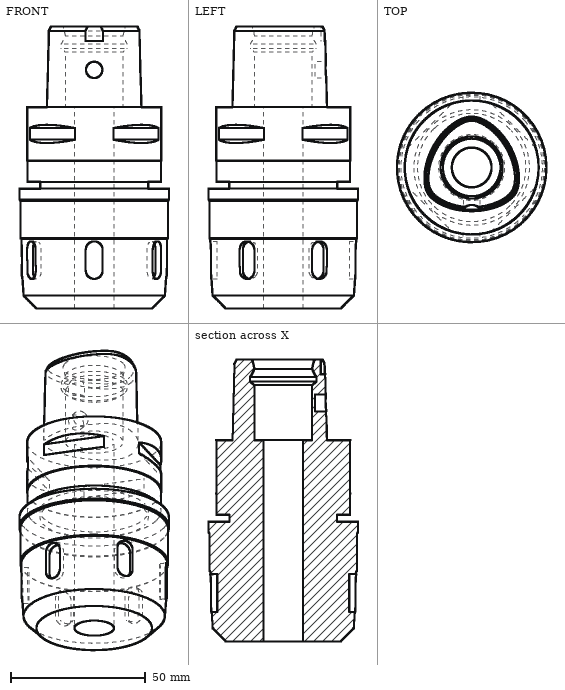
import cadquery as cq
import math

TOTAL_HEIGHT = 105.0
NOSE_TOP = 4.8
LOWER_BAND_TOP = 10.9
EDGE_BREAK_TOP = 12.8
GRIP_TOP = 25.9
GRIP_STEP = 0.3
NUT_BODY_TOP = 40.1
RIM_BOTTOM = 40.6
RIM_TOP = 44.6
NECK_TOP = 47.1
COLLAR_STEP_BOTTOM = 54.9
COLLAR_STEP_TOP = 55.1
COLLAR_TOP = 75.0
SHANK_CHAMFER_BOTTOM = 103.3

NOSE_RADIUS = 21.5
NOSE_TOP_RADIUS = 26.4
LOWER_BAND_RADIUS = 26.8
EDGE_BREAK_RADIUS = 27.1
GRIP_RADIUS = 27.2
NUT_BODY_RADIUS = 27.5
RIM_RADIUS = 55.8 / 2
NECK_RADIUS = 20.2
LOWER_COLLAR_RADIUS = 24.9
COLLAR_RADIUS = 25.0

SHANK_BASE_RADIUS = 17.6
LOBE_RISE = 2.6
LOBE_HEIGHT = LOBE_RISE / 2
TAPER = 1 / 40
SHANK_CHAMFER = 0.8
OUTLINE_POINTS = 72

THROUGH_RADIUS = 7.4
BORE_RADIUS = 10.7
BORE_MOUTH_RADIUS = 11.5
BORE_FLOOR = COLLAR_TOP
MOUTH_CONE_DEPTH = 3.6
GROOVE_RADIUS = 12.3
GROOVE_TOP_DEPTH = 6.6
GROOVE_BOTTOM_DEPTH = 8.3
GROOVE_END_DEPTH = 9.6

KEYWAY_RADIUS = 4.3
KEYWAY_INNER_Y = -14.0
KEYWAY_FLOOR = 99.5
HOLE_RADIUS = 3.0
HOLE_HEIGHT = 88.8
HOLE_FLOOR_Y = -11.9

FLAT_COUNT = 4
WIDTH_ACROSS_FLATS = 44.0
FLAT_DISTANCE = WIDTH_ACROSS_FLATS / 2
FLAT_HEIGHT = 65.0
FLAT_WIDTH = 4.3
FLAT_MOUTH_WIDTH = 6.8

SLOT_COUNT = 6
SLOT_WIDTH = 6.3
SLOT_BOTTOM = 11.0
SLOT_TOP = 25.0
SLOT_FLOOR_RADIUS = 24.6


def turned_body():
    """Nut, neck and collar as one revolved profile."""
    profile = [
        (0, 0),
        (NOSE_RADIUS, 0),
        (NOSE_TOP_RADIUS, NOSE_TOP),
        (LOWER_BAND_RADIUS, LOWER_BAND_TOP),
        (EDGE_BREAK_RADIUS, EDGE_BREAK_TOP),
        (GRIP_RADIUS, GRIP_TOP),
        (NUT_BODY_RADIUS, GRIP_TOP + GRIP_STEP),
        (NUT_BODY_RADIUS, NUT_BODY_TOP),
        (RIM_RADIUS, RIM_BOTTOM),
        (RIM_RADIUS, RIM_TOP),
        (NECK_RADIUS, RIM_TOP),
        (NECK_RADIUS, NECK_TOP),
        (LOWER_COLLAR_RADIUS, NECK_TOP),
        (LOWER_COLLAR_RADIUS, COLLAR_STEP_BOTTOM),
        (COLLAR_RADIUS, COLLAR_STEP_TOP),
        (COLLAR_RADIUS, COLLAR_TOP),
        (0, COLLAR_TOP),
    ]
    return cq.Workplane("XZ").polyline(profile).close().revolve(360, (0, 0), (0, 1))


def lobed_wire(mean_radius, height):
    """Constant-width outline with three lobes, at the given height."""
    points = []
    for i in range(OUTLINE_POINTS):
        angle = 2 * math.pi * i / OUTLINE_POINTS
        along = mean_radius * math.cos(angle) + LOBE_HEIGHT * (2 * math.cos(2 * angle) - math.cos(4 * angle))
        across = mean_radius * math.sin(angle) - LOBE_HEIGHT * (2 * math.sin(2 * angle) + math.sin(4 * angle))
        points.append(cq.Vector(-across, along, height))
    return cq.Wire.assembleEdges([cq.Edge.makeSpline(points, periodic=True)])


def shank():
    """Tapered lobed shank with a steeper chamfer at its free end."""
    chamfer_radius = SHANK_BASE_RADIUS - TAPER * (SHANK_CHAMFER_BOTTOM - COLLAR_TOP)
    base = lobed_wire(SHANK_BASE_RADIUS, COLLAR_TOP)
    shoulder = lobed_wire(chamfer_radius, SHANK_CHAMFER_BOTTOM)
    end = lobed_wire(chamfer_radius - SHANK_CHAMFER, TOTAL_HEIGHT)
    taper = cq.Workplane(cq.Solid.makeLoft([base, shoulder], True))
    chamfer = cq.Workplane(cq.Solid.makeLoft([shoulder, end], True))
    return taper.union(chamfer)


def bore():
    """Through hole, wide bore with a conical mouth, and an undercut groove."""
    profile = [
        (0, 0),
        (THROUGH_RADIUS, 0),
        (THROUGH_RADIUS, BORE_FLOOR),
        (BORE_RADIUS, BORE_FLOOR),
        (BORE_RADIUS, TOTAL_HEIGHT - GROOVE_END_DEPTH),
        (GROOVE_RADIUS, TOTAL_HEIGHT - GROOVE_BOTTOM_DEPTH),
        (GROOVE_RADIUS, TOTAL_HEIGHT - GROOVE_TOP_DEPTH),
        (BORE_RADIUS, TOTAL_HEIGHT - MOUTH_CONE_DEPTH),
        (BORE_MOUTH_RADIUS, TOTAL_HEIGHT),
        (0, TOTAL_HEIGHT),
    ]
    return cq.Workplane("XZ").polyline(profile).close().revolve(360, (0, 0), (0, 1))


def keyway():
    """Upright channel with a round wall, open at the top of the shank."""
    return (
        cq.Workplane("XY", origin=(0, KEYWAY_INNER_Y - KEYWAY_RADIUS, KEYWAY_FLOOR))
        .circle(KEYWAY_RADIUS)
        .extrude(TOTAL_HEIGHT - KEYWAY_FLOOR)
    )


def blind_hole():
    """Flat-bottomed radial hole in the -Y side of the shank."""
    return (
        cq.Workplane("XZ", origin=(0, HOLE_FLOOR_Y, HOLE_HEIGHT))
        .circle(HOLE_RADIUS)
        .extrude(SHANK_BASE_RADIUS + HOLE_FLOOR_Y)
    )


def wrench_flats():
    """Four recesses with a flat floor and sloped upper and lower sides."""
    half_mouth = FLAT_MOUTH_WIDTH / 2
    half_floor = FLAT_WIDTH / 2
    section = [
        (FLAT_DISTANCE, FLAT_HEIGHT - half_floor),
        (COLLAR_RADIUS, FLAT_HEIGHT - half_mouth),
        (COLLAR_RADIUS, FLAT_HEIGHT + half_mouth),
        (FLAT_DISTANCE, FLAT_HEIGHT + half_floor),
    ]
    recess = cq.Workplane("XZ").polyline(section).close().extrude(COLLAR_RADIUS, both=True)
    cutters = cq.Workplane()
    for i in range(FLAT_COUNT):
        angle = 360 / FLAT_COUNT * (i + 0.5)
        cutters = cutters.add(recess.rotate((0, 0, 0), (0, 0, 1), angle))
    return cutters.combine()


def spanner_slots():
    """Six upright flat-bottomed slots, the first one facing -Y."""
    slot = (
        cq.Workplane("XZ", origin=(0, -SLOT_FLOOR_RADIUS, (SLOT_BOTTOM + SLOT_TOP) / 2))
        .slot2D(SLOT_TOP - SLOT_BOTTOM, SLOT_WIDTH, 90)
        .extrude(RIM_RADIUS - SLOT_FLOOR_RADIUS)
    )
    cutters = cq.Workplane()
    for i in range(SLOT_COUNT):
        cutters = cutters.add(slot.rotate((0, 0, 0), (0, 0, 1), 360 / SLOT_COUNT * i))
    return cutters.combine()


result = turned_body().union(shank())
for cutter in (bore(), keyway(), blind_hole(), wrench_flats(), spanner_slots()):
    result = result.cut(cutter)